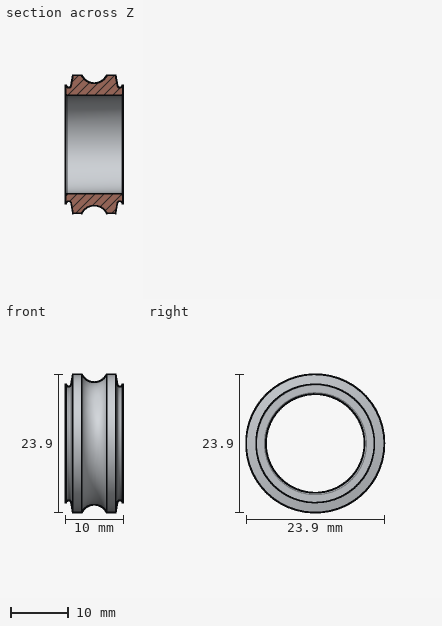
import cadquery as cq
import math

width = 10.0
outer_radius = 11.96
bore_radius = 8.5
bore_edge_round = 0.3

groove_half_width = 2.15
groove_floor_radius = 10.6

flange_half_span = 3.7
flange_side_angle = math.radians(10)
lip_radius = 10.22
lip_width = 0.15
relief_floor_radius = 9.84
relief_arc_radius = 0.38

half_width = width / 2


def relief_points():
    """Return the cone end, arc middle and floor of the flange side of the right-hand relief."""
    center_r = relief_floor_radius + relief_arc_radius
    cone_end_r = center_r - relief_arc_radius * math.sin(flange_side_angle)
    cone_end_x = flange_half_span + (outer_radius - cone_end_r) * math.tan(flange_side_angle)
    center_x = cone_end_x + relief_arc_radius * math.cos(flange_side_angle)
    middle_angle = (flange_side_angle + math.pi / 2) / 2
    arc_middle = (
        center_x - relief_arc_radius * math.cos(middle_angle),
        center_r - relief_arc_radius * math.sin(middle_angle),
    )
    return (cone_end_x, cone_end_r), arc_middle, (center_x, relief_floor_radius)


def mirrored(point):
    """Mirror a profile point to the other side of the ring."""
    return -point[0], point[1]


cone_end, arc_middle, relief_floor = relief_points()
lip_corner = (half_width - lip_width, lip_radius)

lip_arc_run = lip_corner[0] - relief_floor[0]
lip_arc_rise = lip_radius - relief_floor_radius
lip_arc_radius = (lip_arc_run**2 + lip_arc_rise**2) / (2 * lip_arc_rise)
half_sweep = math.atan2(lip_arc_rise, lip_arc_run)
lip_arc_middle = (
    relief_floor[0] + lip_arc_radius * math.sin(half_sweep),
    relief_floor_radius + lip_arc_radius * (1 - math.cos(half_sweep)),
)

profile = (
    cq.Workplane("XY")
    .moveTo(-half_width, bore_radius)
    .lineTo(-half_width, lip_radius)
    .lineTo(*mirrored(lip_corner))
    .threePointArc(mirrored(lip_arc_middle), mirrored(relief_floor))
    .threePointArc(mirrored(arc_middle), mirrored(cone_end))
    .lineTo(-flange_half_span, outer_radius)
    .lineTo(-groove_half_width, outer_radius)
    .threePointArc((0, groove_floor_radius), (groove_half_width, outer_radius))
    .lineTo(flange_half_span, outer_radius)
    .lineTo(*cone_end)
    .threePointArc(arc_middle, relief_floor)
    .threePointArc(lip_arc_middle, lip_corner)
    .lineTo(half_width, lip_radius)
    .lineTo(half_width, bore_radius)
    .close()
)
ring = profile.revolve(360, (0, 0, 0), (1, 0, 0))

bore_mouths = cq.selectors.RadiusNthSelector(0)
result = ring.faces("<X or >X").edges(bore_mouths).fillet(bore_edge_round)